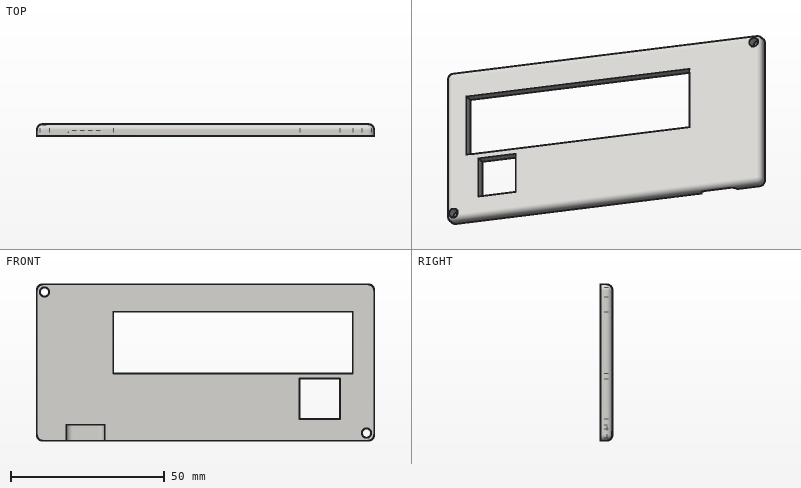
import cadquery as cq

LENGTH = 110.0
THICKNESS = 4.0
HEIGHT = 51.0
CORNER_RADIUS = 2.0
BACK_EDGE_RADIUS = 2.0

HOLE_DIAMETER = 3.0
HOLE_INSET = 2.5

WINDOW_LEFT = 25.0
WINDOW_BOTTOM = 22.0
WINDOW_LENGTH = 78.0
WINDOW_HEIGHT = 20.0
SQUARE_LEFT = 85.7
SQUARE_BOTTOM = 7.2
SQUARE_SIDE = 13.1

RECESS_LEFT = 9.7
RECESS_LENGTH = 12.4
RECESS_HEIGHT = 5.2
RECESS_DEPTH = 2.0


def box_from_front(left, bottom, length, height, depth):
    """Box that starts at the front face and runs depth into the plate."""
    return cq.Workplane("XY").box(length, depth, height, centered=False).translate((left, 0, bottom))


def make_plate():
    plate = box_from_front(0, 0, LENGTH, HEIGHT, THICKNESS)
    plate = plate.edges("|Y").fillet(CORNER_RADIUS)
    return plate.faces(">Y").edges().fillet(BACK_EDGE_RADIUS)


def make_hole(x, z):
    return cq.Workplane("XZ", origin=(x, 0, z)).circle(HOLE_DIAMETER / 2).extrude(-THICKNESS)


def make_recess():
    """Recess whose end walls curve into the floor as quarter rounds."""
    right = RECESS_LEFT + RECESS_LENGTH
    profile = (
        cq.Workplane("XY")
        .moveTo(RECESS_LEFT, 0)
        .radiusArc((RECESS_LEFT + RECESS_DEPTH, RECESS_DEPTH), RECESS_DEPTH)
        .lineTo(right - RECESS_DEPTH, RECESS_DEPTH)
        .radiusArc((right, 0), RECESS_DEPTH)
        .close()
    )
    return profile.extrude(RECESS_HEIGHT)


window = box_from_front(WINDOW_LEFT, WINDOW_BOTTOM, WINDOW_LENGTH, WINDOW_HEIGHT, THICKNESS)
square = box_from_front(SQUARE_LEFT, SQUARE_BOTTOM, SQUARE_SIDE, SQUARE_SIDE, THICKNESS)
upper_hole = make_hole(HOLE_INSET, HEIGHT - HOLE_INSET)
lower_hole = make_hole(LENGTH - HOLE_INSET, HOLE_INSET)

result = make_plate().cut(window).cut(square).cut(upper_hole).cut(lower_hole).cut(make_recess())